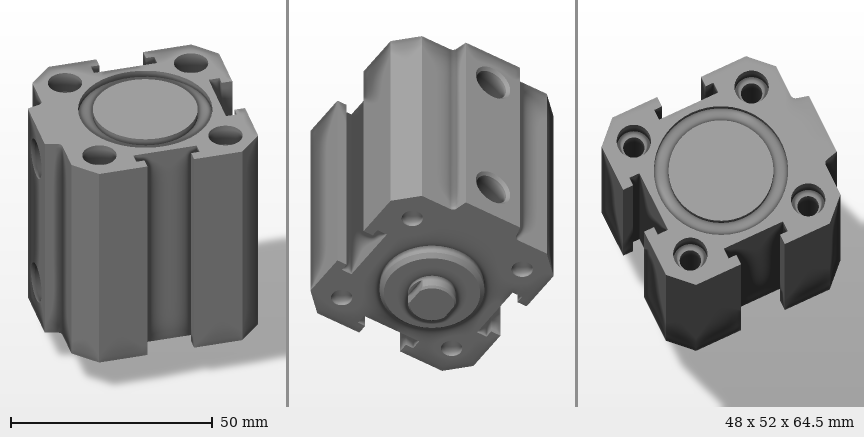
import cadquery as cq

width = 48.0
half_width = width / 2
overall_height = 64.5
collar_height = 3.5
rod_exposed = 4.0
housing_height = overall_height - collar_height - rod_exposed
corner_chamfer = 5.6

rib_height = 4.0
rib_tip_width = 16.0
rib_base_width = 18.05
rib_root_radius = 1.3
edge_margin = 0.05

slot_mouth_width = 12.0
slot_inner_width = 16.25
slot_lip = 2.7
slot_depth = 5.5

mount_pitch = 32.4
mount_diameter = 5.3
counterbore_diameter = 8.5
counterbore_depth = 5.6

recess_diameter = 33.3
disc_diameter = 26.0
recess_depth = 1.8

port_diameter = 8.6
port_mouth_diameter = 10.1
port_depth = 10.0
port_end_offset = 9.8

collar_diameter = 26.0
collar_chamfer = 1.0

rod_diameter = 12.0
rod_flat_width = 10.0
rod_plain_length = 1.0
rod_end_chamfer = 0.5
rod_socket_depth = collar_height


def make_profile():
    block = (
        cq.Workplane("XY")
        .rect(width, width)
        .extrude(housing_height)
        .edges("|Z")
        .chamfer(corner_chamfer)
    )
    rib = (
        cq.Workplane("XY")
        .polyline([
            (-rib_base_width / 2, -half_width),
            (-rib_tip_width / 2, -half_width - rib_height),
            (rib_tip_width / 2, -half_width - rib_height),
            (rib_base_width / 2, -half_width),
            (0, 0),
        ])
        .close()
        .extrude(housing_height)
    )
    rib_roots = cq.selectors.BoxSelector(
        (-rib_base_width / 2 - edge_margin, -half_width - edge_margin, 0),
        (rib_base_width / 2 + edge_margin, -half_width + edge_margin, housing_height),
    )
    return block.union(rib).edges("|Z").edges(rib_roots).fillet(rib_root_radius)


def make_slot(angle):
    """T-slot cutter for the +Y face, turned about Z by the given angle."""
    mouth = (
        cq.Workplane("XY")
        .center(0, half_width - slot_depth / 2)
        .rect(slot_mouth_width, slot_depth)
        .extrude(housing_height)
    )
    inner_depth = slot_depth - slot_lip
    inner = (
        cq.Workplane("XY")
        .center(0, half_width - slot_depth + inner_depth / 2)
        .rect(slot_inner_width, inner_depth)
        .extrude(housing_height)
    )
    return mouth.union(inner).rotate((0, 0, 0), (0, 0, 1), angle)


def make_port(z):
    """Blind port cutter with a 45 degree chamfered mouth on the rib face."""
    radius = port_diameter / 2
    mouth_radius = port_mouth_diameter / 2
    return (
        cq.Workplane("XY")
        .polyline([
            (0, 0),
            (mouth_radius, 0),
            (radius, mouth_radius - radius),
            (radius, port_depth),
            (0, port_depth),
        ])
        .close()
        .revolve(360, (0, 0, 0), (0, 1, 0))
        .translate((0, -half_width - rib_height, z))
    )


def make_housing():
    body = make_profile()
    for angle in (0, 90, -90):
        body = body.cut(make_slot(angle))

    body = (
        body.faces(">Z")
        .workplane(origin=(0, 0, housing_height))
        .rect(mount_pitch, mount_pitch, forConstruction=True)
        .vertices()
        .cboreHole(mount_diameter, counterbore_diameter, counterbore_depth)
    )

    recess = (
        cq.Workplane("XY", origin=(0, 0, housing_height - recess_depth))
        .circle(recess_diameter / 2)
        .circle(disc_diameter / 2)
        .extrude(recess_depth)
    )
    body = body.cut(recess)

    for z in (port_end_offset, housing_height - port_end_offset):
        body = body.cut(make_port(z))

    collar = (
        cq.Workplane("XY", origin=(0, 0, -collar_height))
        .circle(collar_diameter / 2)
        .extrude(collar_height)
        .faces("<Z")
        .edges()
        .chamfer(collar_chamfer)
    )
    socket = (
        cq.Workplane("XY", origin=(0, 0, -collar_height))
        .circle(rod_diameter / 2)
        .extrude(rod_socket_depth)
    )
    return body.union(collar).cut(socket)


def make_rod():
    """Round rod with two wrench flats on its exposed end, facing -X and +X."""
    bottom = -collar_height - rod_exposed
    flat_length = rod_exposed - rod_plain_length
    rod = (
        cq.Workplane("XY", origin=(0, 0, bottom))
        .circle(rod_diameter / 2)
        .extrude(rod_exposed + rod_socket_depth)
        .faces("<Z")
        .edges()
        .chamfer(rod_end_chamfer)
    )
    flats = (
        cq.Workplane("XY", origin=(0, 0, bottom))
        .rect(2 * rod_diameter, rod_diameter)
        .rect(rod_flat_width, rod_diameter)
        .extrude(flat_length)
    )
    return rod.cut(flats)


housing = make_housing()
rod = make_rod()
result = cq.Compound.makeCompound([housing.val(), rod.val()])